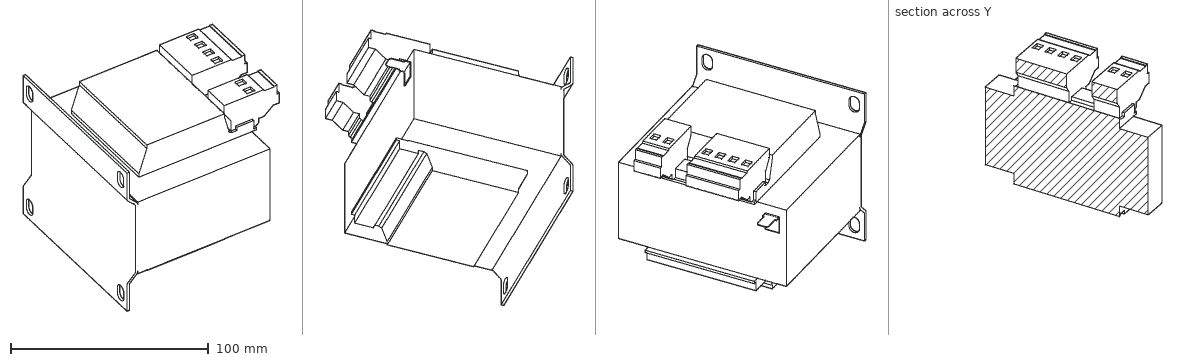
import cadquery as cq
import math


OVERALL_DEPTH = 104.0
OVERALL_HEIGHT = 89.95

WIDTH = 96.0
BRACKET_HEIGHT = 88.6
SHEET = 1.5
WEB_OFFSET = 5.0
WEB_HALF_HEIGHT = 21.75
FLANGE_START = WEB_HALF_HEIGHT + WEB_OFFSET
BEND_INNER_RADIUS = 0.75
BEND_OUTER_RADIUS = BEND_INNER_RADIUS + SHEET
SLOT_LENGTH = 9.2
SLOT_WIDTH = 5.8
SLOT_SPACING_X = 84.0
SLOT_SPACING_Z = 72.6

CORE_DEPTH = 80.0
CORE_HEIGHT = 46.0
CORE_FRONT = WEB_OFFSET + SHEET
CORE_BACK = CORE_FRONT + CORE_DEPTH
CORE_TOP = CORE_HEIGHT / 2

BOBBIN_WIDTH = 62.4
BOBBIN_FRONT = 18.2
BOBBIN_CREST_FRONT = 23.0
BOBBIN_CREST_BACK = 69.9
BOBBIN_CREST_BAND = 2.2
BOBBIN_FRONT_WALL = 2.2
SHELF_STEP_Y = 77.4
SHELF_BACK = 87.6
SHELF_HEIGHT = 6.7
TROUGH_FRONT = 74.5
TROUGH_HEIGHT = 4.6
TROUGH_CHAMFER_Y = 1.6
TROUGH_CHAMFER_Z = 0.8
RIM_BACK = 89.4
RIM_HEIGHT = 1.4
UPPER_CREST_HEIGHT = 18.6
LOWER_CREST_HEIGHT = 16.0
LOWER_RELIEF = 0.3
RELIEF_FRONT = 83.0

TERMINAL_WIDTH = 15.05
TERMINAL_ROW_HALF = 29.9
TERMINAL_LEFT_EDGES = (
    -TERMINAL_ROW_HALF,
    -TERMINAL_ROW_HALF + TERMINAL_WIDTH,
    TERMINAL_ROW_HALF - TERMINAL_WIDTH,
)
TERMINAL_TOP = OVERALL_HEIGHT - BRACKET_HEIGHT / 2
TERMINAL_FRONT = 70.6
FRONT_FACE_BOTTOM = 40.2
TOP_BACK = 94.3
RECESS_FRONT = 95.0
RECESS_BACK = 100.8
RECESS_Z = 44.8
LIP_BACK = 102.6
LIP_TOP = 45.2
NOSE_TOP = 39.4
NOSE_BOTTOM = 33.2
NOSE_FRONT = 100.3
UNDERSIDE_BACK = 94.6
UNDERSIDE_Z = 28.4
HOOK_BACK = 91.5
HOOK_BOTTOM = 24.8
HOOK_CHAMFER = 1.0
LEG_FRONT = 74.7
LEG_TOP = 34.2
POLES = 2
POLE_PITCH = TERMINAL_WIDTH / POLES
WINDOW_WIDTH = 3.8
WINDOW_LENGTH = 4.6
WINDOW_DEPTH = 1.5
WINDOW_Y = 88.0

TAB_X = -40.0
TAB_SHEET = 0.5
TAB_TOP = 17.8
TAB_FOOT_BOTTOM = 8.2
TAB_FOOT_WIDTH = 8.1
TAB_SHOULDER_Y = 89.8
TAB_BLADE_WIDTH = 6.3
TAB_TIP_Y = 97.8
TAB_TIP_CHAMFER = 1.0


def extrude_across(points, x_start, x_end):
    """Extrude a (Y, Z) outline along X between two positions."""
    return cq.Workplane("YZ").workplane(offset=x_start).polyline(points).close().extrude(x_end - x_start)


def box_between(x_range, y_range, z_range):
    size = [end - start for start, end in (x_range, y_range, z_range)]
    return cq.Workplane("XY").box(*size, centered=False).translate((x_range[0], y_range[0], z_range[0]))


def make_bracket():
    top = BRACKET_HEIGHT / 2
    miter = SHEET * math.tan(math.radians(45) / 2)
    front = [
        (WEB_OFFSET, WEB_HALF_HEIGHT),
        (0, FLANGE_START),
        (0, top),
    ]
    back = [
        (SHEET, top),
        (SHEET, FLANGE_START + miter),
        (CORE_FRONT, WEB_HALF_HEIGHT + miter),
    ]
    upper = front + back
    lower = [(y, -z) for y, z in reversed(upper)]
    bracket = extrude_across(upper + lower, -WIDTH / 2, WIDTH / 2)

    inner_bends = (front[0], back[1])
    outer_bends = (front[1], back[2])
    for bends, radius in ((inner_bends, BEND_INNER_RADIUS), (outer_bends, BEND_OUTER_RADIUS)):
        for y, z in bends:
            for side in (1, -1):
                edge = cq.selectors.NearestToPointSelector((0, y, side * z))
                bracket = bracket.edges("|X").edges(edge).fillet(radius)

    slots = (
        cq.Workplane("XZ")
        .rarray(SLOT_SPACING_X, SLOT_SPACING_Z, 2, 2)
        .slot2D(SLOT_LENGTH, SLOT_WIDTH, 90)
        .extrude(-SHEET)
    )
    return bracket.cut(slots)


def make_core():
    half_width = WIDTH / 2
    return box_between((-half_width, half_width), (CORE_FRONT, CORE_BACK), (-CORE_TOP, CORE_TOP))


def make_bobbin(crest_height, shelf_offset, side):
    """One bobbin half: side is 1 above the core and -1 below it.

    shelf_offset moves the rim, shelf and trough away from the core.
    """
    rim = RIM_HEIGHT + shelf_offset
    shelf = SHELF_HEIGHT + shelf_offset
    trough = TROUGH_HEIGHT + shelf_offset
    slope_top = crest_height - BOBBIN_CREST_BAND
    outline = [
        (BOBBIN_FRONT, 0),
        (BOBBIN_FRONT, BOBBIN_FRONT_WALL),
        (BOBBIN_CREST_FRONT, slope_top),
        (BOBBIN_CREST_FRONT, crest_height),
        (BOBBIN_CREST_BACK, crest_height),
        (BOBBIN_CREST_BACK, slope_top),
        (TROUGH_FRONT - TROUGH_CHAMFER_Y, trough + TROUGH_CHAMFER_Z),
        (TROUGH_FRONT, trough),
        (SHELF_STEP_Y, trough),
        (SHELF_STEP_Y, shelf),
        (SHELF_BACK, shelf),
        (SHELF_BACK, rim),
        (RIM_BACK, rim),
        (RIM_BACK, 0),
    ]
    placed = [(y, side * (CORE_TOP + height)) for y, height in outline]
    return extrude_across(placed, -BOBBIN_WIDTH / 2, BOBBIN_WIDTH / 2)


def make_lower_bobbin():
    bobbin = make_bobbin(LOWER_CREST_HEIGHT, LOWER_RELIEF, -1)
    relief = box_between(
        (-BOBBIN_WIDTH / 2, BOBBIN_WIDTH / 2),
        (RELIEF_FRONT, RIM_BACK),
        (-CORE_TOP - LOWER_RELIEF, -CORE_TOP),
    )
    return bobbin.cut(relief)


def make_terminal(left_edge):
    """A two-pole terminal block clipped over the shelf of the upper bobbin."""
    shelf_top = CORE_TOP + SHELF_HEIGHT
    trough_top = CORE_TOP + TROUGH_HEIGHT
    rim_top = CORE_TOP + RIM_HEIGHT
    outline = [
        (TERMINAL_FRONT, TERMINAL_TOP),
        (TOP_BACK, TERMINAL_TOP),
        (RECESS_FRONT, RECESS_Z),
        (RECESS_BACK, RECESS_Z),
        (RECESS_BACK, LIP_TOP),
        (LIP_BACK, LIP_TOP),
        (LIP_BACK, NOSE_TOP),
        (OVERALL_DEPTH, NOSE_TOP),
        (OVERALL_DEPTH, NOSE_BOTTOM),
        (NOSE_FRONT, NOSE_BOTTOM),
        (UNDERSIDE_BACK, UNDERSIDE_Z),
        (HOOK_BACK, UNDERSIDE_Z),
        (HOOK_BACK, HOOK_BOTTOM + HOOK_CHAMFER),
        (HOOK_BACK - HOOK_CHAMFER, HOOK_BOTTOM),
        (RIM_BACK, rim_top),
        (SHELF_BACK, rim_top),
        (SHELF_BACK, shelf_top),
        (SHELF_STEP_Y, shelf_top),
        (SHELF_STEP_Y, trough_top),
        (LEG_FRONT, trough_top),
        (LEG_FRONT, LEG_TOP),
        (TERMINAL_FRONT, FRONT_FACE_BOTTOM),
    ]
    terminal = extrude_across(outline, left_edge, left_edge + TERMINAL_WIDTH)
    for pole in range(POLES):
        pole_x = left_edge + (pole + 0.5) * POLE_PITCH
        window = (
            cq.Workplane("XY", origin=(pole_x, WINDOW_Y, TERMINAL_TOP))
            .rect(WINDOW_WIDTH, WINDOW_LENGTH)
            .extrude(-WINDOW_DEPTH)
        )
        terminal = terminal.cut(window)
    return terminal


def make_earth_tab():
    foot_sides = (TAB_X - TAB_FOOT_WIDTH / 2, TAB_X + TAB_FOOT_WIDTH / 2)
    blade_sides = (TAB_X - TAB_BLADE_WIDTH / 2, TAB_X + TAB_BLADE_WIDTH / 2)
    sheet_range = (TAB_TOP - TAB_SHEET, TAB_TOP)
    foot = box_between(foot_sides, (CORE_BACK, CORE_BACK + TAB_SHEET), (TAB_FOOT_BOTTOM, TAB_TOP))
    shoulder = box_between(foot_sides, (CORE_BACK, TAB_SHOULDER_Y), sheet_range)
    blade = box_between(blade_sides, (CORE_BACK, TAB_TIP_Y), sheet_range)
    blade = blade.edges("|Z and >Y").chamfer(TAB_TIP_CHAMFER)
    return foot.union(shoulder).union(blade)


result = make_core().union(make_bracket(), clean=False)
result = result.union(make_bobbin(UPPER_CREST_HEIGHT, 0, 1), clean=False)
result = result.union(make_lower_bobbin(), clean=False)
for terminal_left_edge in TERMINAL_LEFT_EDGES:
    result = result.union(make_terminal(terminal_left_edge), clean=False)
result = result.union(make_earth_tab(), clean=False)